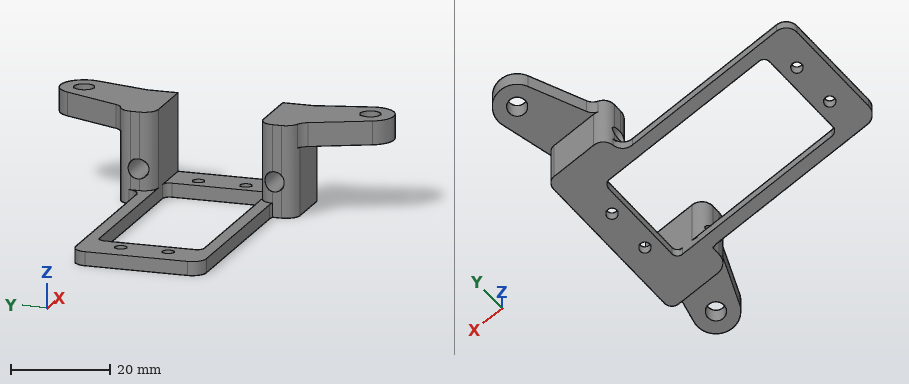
import cadquery as cq
import math

frame_length = 60.05
frame_width = 27.8
frame_thickness = 3.0
frame_corner_radius = 3.0
window_start = 8.5
window_end = 51.6
window_width = 22.25
window_corner_radius = 1.5
screw_hole_diameter = 2.5
screw_hole_columns = (5.25, 54.8)
screw_hole_y = 5.0

total_height = 19.5
tower_start = 44.5
tower_inner_y = window_width / 2
tower_outer_y = 19.0
tower_front_radius = 3.0
tower_back_radius = 2.0
cross_hole_diameter = 4.25
cross_hole_y = 14.45
cross_hole_z = 7.5

ear_thickness = 5.0
ear_radius = 5.0
ear_x = 63.0 - ear_radius
ear_y = 35.45 - ear_radius
ear_hole_diameter = 4.25
ear_back_start_y = 17.65
ear_front_lean = math.radians(23.5)
ear_neck_radius = 3.0

frame_blend_radius = 3.0
short_blend_length = 1.2

tower_corner_x = tower_start + tower_front_radius
tower_corner_y = tower_outer_y - tower_front_radius


def polar(center, radius, angle):
    return (center[0] + radius * math.cos(angle), center[1] + radius * math.sin(angle))


def angle_between(start, end):
    return math.atan2(end[1] - start[1], end[0] - start[0])


def make_frame():
    """Flat rectangular frame with rounded front corners and four screw holes."""
    frame = (
        cq.Workplane("XY")
        .box(frame_length, frame_width, frame_thickness, centered=(False, True, False))
        .edges("|Z and <X")
        .fillet(frame_corner_radius)
    )
    window = (
        cq.Workplane("XY")
        .box(window_end - window_start, window_width, frame_thickness, centered=(False, True, False))
        .translate((window_start, 0, 0))
        .edges("|Z")
        .fillet(window_corner_radius)
    )
    hole_centers = [(x, y) for x in screw_hole_columns for y in (-screw_hole_y, screw_hole_y)]
    holes = (
        cq.Workplane("XY")
        .pushPoints(hole_centers)
        .circle(screw_hole_diameter / 2)
        .extrude(frame_thickness)
    )
    return frame.cut(window).cut(holes)


def make_tower():
    """Tower on the +Y side; only its inner back corner is left sharp."""
    tower = (
        cq.Workplane("XY")
        .box(frame_length - tower_start, tower_outer_y - tower_inner_y, total_height, centered=False)
        .translate((tower_start, tower_inner_y, 0))
    )
    tower = tower.edges("|Z and <X").fillet(tower_front_radius)
    return tower.edges("|Z and >X and >Y").fillet(tower_back_radius)


def make_ear():
    """Ear on the +Y side, rounded at its tip and blended into the tower's front corner."""
    tip = (ear_x, ear_y)
    corner = (tower_corner_x, tower_corner_y)
    back_start = (frame_length, ear_back_start_y)

    back_distance = math.dist(tip, back_start)
    back_angle = angle_between(tip, back_start) + math.acos(ear_radius / back_distance)
    back_tangent = polar(tip, ear_radius, back_angle)

    front_angle = math.pi - ear_front_lean
    front_tangent = polar(tip, ear_radius, front_angle)
    tip_middle = polar(tip, ear_radius, (back_angle + front_angle) / 2)

    normal = (math.cos(front_angle), math.sin(front_angle))
    along = (-math.sin(ear_front_lean), -math.cos(ear_front_lean))
    offset_point = polar(front_tangent, ear_neck_radius, front_angle)
    to_corner = (corner[0] - offset_point[0], corner[1] - offset_point[1])
    corner_along = to_corner[0] * along[0] + to_corner[1] * along[1]
    corner_across = to_corner[0] * normal[0] + to_corner[1] * normal[1]
    center_gap = tower_front_radius + ear_neck_radius
    run = corner_along - math.sqrt(center_gap**2 - corner_across**2)
    neck_center = (offset_point[0] + run * along[0], offset_point[1] + run * along[1])
    neck_start = (front_tangent[0] + run * along[0], front_tangent[1] + run * along[1])
    neck_start_angle = -ear_front_lean
    neck_end_angle = angle_between(neck_center, corner)
    neck_middle = polar(neck_center, ear_neck_radius, (neck_start_angle + neck_end_angle) / 2)
    neck_end = polar(neck_center, ear_neck_radius, neck_end_angle)

    ear = (
        cq.Workplane("XY", origin=(0, 0, total_height - ear_thickness))
        .moveTo(frame_length, tower_inner_y)
        .lineTo(*back_start)
        .lineTo(*back_tangent)
        .threePointArc(tip_middle, front_tangent)
        .lineTo(*neck_start)
        .threePointArc(neck_middle, neck_end)
        .lineTo(*corner)
        .lineTo(tower_corner_x, tower_inner_y)
        .close()
        .extrude(ear_thickness)
    )
    hole = (
        cq.Workplane("XY", origin=(ear_x, ear_y, 0))
        .circle(ear_hole_diameter / 2)
        .extrude(total_height)
    )
    return ear.cut(hole)


def make_frame_blend(blend_x, end_angle):
    """Concave +Y blend starting at blend_x and turning until end_angle about its centre."""
    side_y = frame_width / 2
    center = (blend_x, side_y + frame_blend_radius)
    start_angle = -math.pi / 2
    arc_end = polar(center, frame_blend_radius, end_angle)
    return (
        cq.Workplane("XY")
        .moveTo(blend_x, side_y)
        .threePointArc(polar(center, frame_blend_radius, (start_angle + end_angle) / 2), arc_end)
        .lineTo(tower_corner_x, arc_end[1])
        .lineTo(tower_corner_x, side_y)
        .close()
        .extrude(frame_thickness)
    )


def make_full_blend():
    """Blend that ends tangent to the round tower corner."""
    rise = frame_width / 2 + frame_blend_radius - tower_corner_y
    center_gap = tower_front_radius + frame_blend_radius
    blend_x = tower_corner_x - math.sqrt(center_gap**2 - rise**2)
    return make_frame_blend(blend_x, -math.asin(rise / center_gap))


def make_short_blend():
    """Blend that stops where it meets the flat front of the tower."""
    end_angle = -math.acos(short_blend_length / frame_blend_radius)
    return make_frame_blend(tower_start - short_blend_length, end_angle)


def make_cross_holes():
    """Holes along X through both towers."""
    return (
        cq.Workplane("YZ")
        .pushPoints([(-cross_hole_y, cross_hole_z), (cross_hole_y, cross_hole_z)])
        .circle(cross_hole_diameter / 2)
        .extrude(frame_length)
    )


bracket = make_tower().union(make_ear())
result = (
    make_frame()
    .union(bracket)
    .union(bracket.mirror("XZ"))
    .union(make_full_blend())
    .union(make_short_blend().mirror("XZ"))
    .cut(make_cross_holes())
)